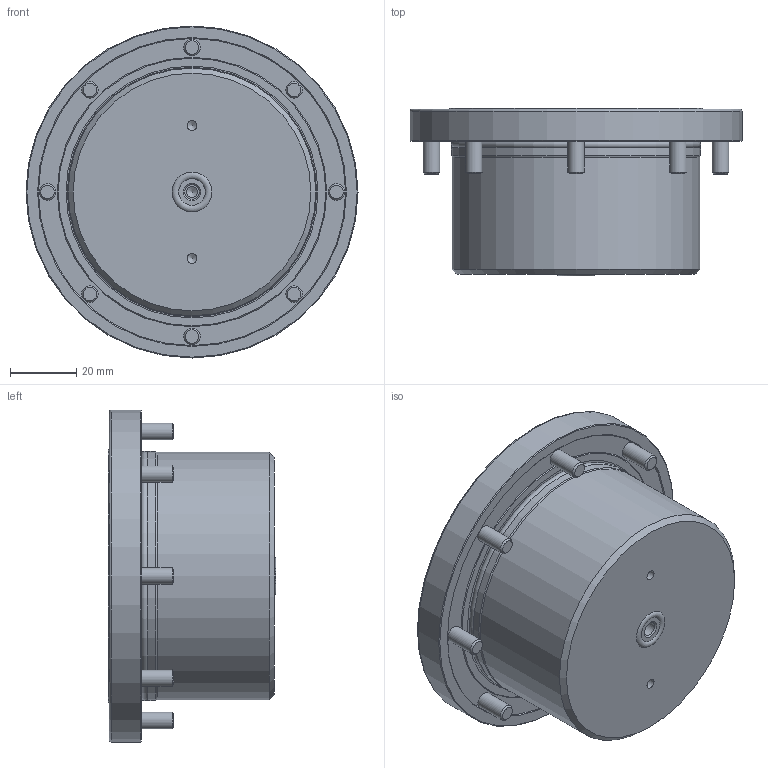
import cadquery as cq
import math


FLANGE_DIA = 100.0
FLANGE_THICKNESS = 9.7
FLANGE_BACK_FILLET = 0.7
FLANGE_FRONT_CHAMFER = 0.25
PAD_DIA = 76.0
PAD_HEIGHT = 0.3

RECESS_INNER_DIA = 80.6
RECESS_OUTER_DIA = 93.0
RECESS_DEPTH = 0.25

BODY_DIA = 74.6
BODY_LENGTH = 40.0
BODY_END_CHAMFER = 1.5
COLLAR_DIA = 75.0
COLLAR_START = 1.9
COLLAR_END = 4.3
COLLAR_TAPER_LENGTH = 0.5

SEAL_CENTER_DIA = 72.71
SEAL_SECTION_DIA = 2.4
SEAL_OFFSET = 0.9
SEAL_GROOVE_DIA = 75.9
SEAL_GROOVE_DEPTH = 0.5

SCREW_COUNT = 8
SCREW_CIRCLE_DIA = 87.0
SCREW_DIA = 5.0
SCREW_TIP_DIA = 4.1
SCREW_TIP_LENGTH = 0.5
SCREW_LENGTH = 9.8

PORT_SEAL_OUTER_DIA = 12.0
PORT_SEAL_INNER_DIA = 8.0
PORT_SEAL_HEIGHT = 0.5
PORT_MOUTH_DIA = 5.2
PORT_DIA = 4.3
PORT_CORE_DIA = 3.3
PORT_STEP_DEPTH = 6.0
PORT_DEPTH = 10.0

SIDE_HOLE_DIA = 3.0
SIDE_HOLE_OFFSET = 20.0
SIDE_HOLE_DEPTH = 6.0

DRILL_POINT_ANGLE = 118.0


def revolve_about_y(profile):
    """Turn a closed XY profile (X = radius) about the Y axis."""
    return profile.revolve(360, (0, 0, 0), (0, 1, 0))


def cylinder(dia, y_start, y_end):
    """Cylinder along the Y axis between two Y positions."""
    return revolve_about_y(
        cq.Workplane("XY")
        .moveTo(0, y_start)
        .lineTo(dia / 2, y_start)
        .lineTo(dia / 2, y_end)
        .lineTo(0, y_end)
        .close()
    )


def tube(outer_dia, inner_dia, y_start, y_end):
    """Ring of rectangular section around the Y axis."""
    return cylinder(outer_dia, y_start, y_end).cut(cylinder(inner_dia, y_start, y_end))


def drill_point_length(dia):
    """Length of the conical bottom a drill leaves in a blind hole."""
    return dia / 2 / math.tan(math.radians(DRILL_POINT_ANGLE / 2))


def make_flange():
    """Flange disc with its back pad, screw-circle recess and seal groove."""
    flange = cylinder(FLANGE_DIA, 0, FLANGE_THICKNESS)
    flange = flange.faces(">Y").fillet(FLANGE_BACK_FILLET)
    flange = flange.faces("<Y").chamfer(FLANGE_FRONT_CHAMFER)
    pad = cylinder(PAD_DIA, FLANGE_THICKNESS, FLANGE_THICKNESS + PAD_HEIGHT)
    recess = revolve_about_y(
        cq.Workplane("XY")
        .moveTo(RECESS_INNER_DIA / 2, 0)
        .lineTo(RECESS_INNER_DIA / 2 + RECESS_DEPTH, RECESS_DEPTH)
        .lineTo(RECESS_OUTER_DIA / 2 - RECESS_DEPTH, RECESS_DEPTH)
        .lineTo(RECESS_OUTER_DIA / 2, 0)
        .close()
    )
    seal_groove = tube(SEAL_GROOVE_DIA, SEAL_CENTER_DIA, 0, SEAL_GROOVE_DEPTH)
    return flange.union(pad).cut(recess).cut(seal_groove)


def make_body():
    """Body, collar and flange seal as one turned profile."""
    taper_end = COLLAR_END + COLLAR_TAPER_LENGTH
    seal_back = -SEAL_OFFSET + SEAL_SECTION_DIA / 2
    seal_front = -SEAL_OFFSET - SEAL_SECTION_DIA / 2
    seal_crest = ((SEAL_CENTER_DIA + SEAL_SECTION_DIA) / 2, -SEAL_OFFSET)
    end_radius = BODY_DIA / 2 - BODY_END_CHAMFER
    return revolve_about_y(
        cq.Workplane("XY")
        .moveTo(0, seal_back)
        .lineTo(SEAL_CENTER_DIA / 2, seal_back)
        .threePointArc(seal_crest, (SEAL_CENTER_DIA / 2, seal_front))
        .lineTo(SEAL_CENTER_DIA / 2, -COLLAR_START)
        .lineTo(COLLAR_DIA / 2, -COLLAR_START)
        .lineTo(COLLAR_DIA / 2, -COLLAR_END)
        .lineTo(BODY_DIA / 2, -taper_end)
        .lineTo(BODY_DIA / 2, -BODY_LENGTH + BODY_END_CHAMFER)
        .lineTo(end_radius, -BODY_LENGTH)
        .lineTo(0, -BODY_LENGTH)
        .close()
    )


def make_screw(angle):
    """Screw shank on the screw circle, at an angle about the Y axis."""
    shank_end = SCREW_LENGTH - SCREW_TIP_LENGTH
    screw = revolve_about_y(
        cq.Workplane("XY")
        .moveTo(0, RECESS_DEPTH)
        .lineTo(SCREW_DIA / 2, RECESS_DEPTH)
        .lineTo(SCREW_DIA / 2, -shank_end)
        .lineTo(SCREW_TIP_DIA / 2, -SCREW_LENGTH)
        .lineTo(0, -SCREW_LENGTH)
        .close()
    )
    return screw.translate((SCREW_CIRCLE_DIA / 2, 0, 0)).rotate((0, 0, 0), (0, 1, 0), angle)


def make_port_cut():
    """Countersunk two-step blind hole on the axis."""
    face = -BODY_LENGTH
    mouth_depth = (PORT_MOUTH_DIA - PORT_DIA) / 2
    return revolve_about_y(
        cq.Workplane("XY")
        .moveTo(0, face)
        .lineTo(PORT_MOUTH_DIA / 2, face)
        .lineTo(PORT_DIA / 2, face + mouth_depth)
        .lineTo(PORT_DIA / 2, face + PORT_STEP_DEPTH)
        .lineTo(PORT_CORE_DIA / 2, face + PORT_STEP_DEPTH)
        .lineTo(PORT_CORE_DIA / 2, face + PORT_DEPTH)
        .lineTo(0, face + PORT_DEPTH + drill_point_length(PORT_CORE_DIA))
        .close()
    )


def make_side_hole_cut(z_position):
    """Small drilled blind hole in the body's end face."""
    face = -BODY_LENGTH
    return revolve_about_y(
        cq.Workplane("XY")
        .moveTo(0, face)
        .lineTo(SIDE_HOLE_DIA / 2, face)
        .lineTo(SIDE_HOLE_DIA / 2, face + SIDE_HOLE_DEPTH)
        .lineTo(0, face + SIDE_HOLE_DEPTH + drill_point_length(SIDE_HOLE_DIA))
        .close()
    ).translate((0, 0, z_position))


def make_port_seal():
    """Domed ring bulging out of the body's end face."""
    face = -BODY_LENGTH
    middle_radius = (PORT_SEAL_OUTER_DIA + PORT_SEAL_INNER_DIA) / 4
    crest = (middle_radius, face - PORT_SEAL_HEIGHT)
    return revolve_about_y(
        cq.Workplane("XY")
        .moveTo(PORT_SEAL_INNER_DIA / 2, face)
        .threePointArc(crest, (PORT_SEAL_OUTER_DIA / 2, face))
        .lineTo(PORT_SEAL_OUTER_DIA / 2, face + PORT_SEAL_HEIGHT)
        .lineTo(PORT_SEAL_INNER_DIA / 2, face + PORT_SEAL_HEIGHT)
        .close()
    )


result = make_flange().union(make_body())
for index in range(SCREW_COUNT):
    result = result.union(make_screw(index * 360 / SCREW_COUNT))
result = result.union(make_port_seal())
result = result.cut(make_port_cut())
for z_position in (SIDE_HOLE_OFFSET, -SIDE_HOLE_OFFSET):
    result = result.cut(make_side_hole_cut(z_position))